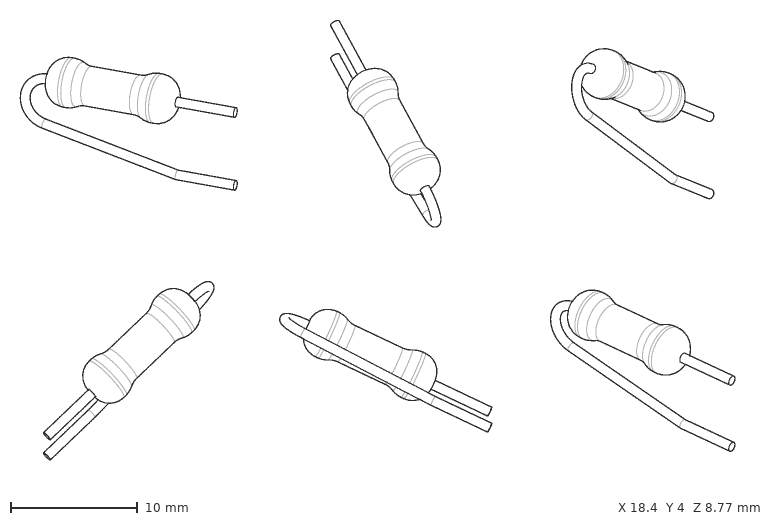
import cadquery as cq
import math


overall_length = 18.4
body_length = 11.0
body_diameter = 4.0
core_diameter = 3.2
bulb_land = 0.28
wire_diameter = 0.8
bend_radius = 2.0
lead_spacing = 6.37

body_radius = body_diameter / 2
core_radius = core_diameter / 2
wire_radius = wire_diameter / 2
bulb_round = body_radius - wire_radius
lead_tip_x = overall_length - bend_radius - wire_radius

blend_mid_radius = (body_radius + core_radius) / 2
blend_angle = math.acos(1 - (body_radius - blend_mid_radius) / bulb_round)
blend_half_length = bulb_round * math.sin(blend_angle)


def arc_point(center_x, center_y, radius, angle):
    """Point on a circle, with the angle in radians from the first axis."""
    return (center_x + radius * math.cos(angle), center_y + radius * math.sin(angle))


def make_wire():
    """Round wire through the body, bent back under it and then level again."""
    bend_center_x = 0.0
    bend_center_z = -bend_radius
    kink = (body_length, -lead_spacing)

    run = kink[0] - bend_center_x
    rise = kink[1] - bend_center_z
    slope = math.atan2(rise, run) + math.asin(bend_radius / math.hypot(run, rise))
    bend_start_angle = math.pi / 2
    bend_end_angle = slope + 3 * math.pi / 2
    bend_middle_angle = (bend_start_angle + bend_end_angle) / 2
    bend_middle = arc_point(bend_center_x, bend_center_z, bend_radius, bend_middle_angle)
    bend_end = arc_point(bend_center_x, bend_center_z, bend_radius, bend_end_angle)

    path = (
        cq.Workplane("XZ")
        .moveTo(lead_tip_x, 0)
        .lineTo(0, 0)
        .threePointArc(bend_middle, bend_end)
        .lineTo(*kink)
        .lineTo(lead_tip_x, -lead_spacing)
    )
    section = cq.Workplane("YZ", origin=(lead_tip_x, 0, 0)).circle(wire_radius)
    return section.sweep(path, transition="right")


def make_body():
    """Turned dog-bone body with a through bore for the wire."""
    land_start = bulb_round
    land_end = land_start + bulb_land
    blend_mid = land_end + blend_half_length
    core_start = blend_mid + blend_half_length

    round_middle = arc_point(land_start, wire_radius, bulb_round, 3 * math.pi / 4)
    convex_middle = arc_point(
        land_end, body_radius - bulb_round, bulb_round, (math.pi - blend_angle) / 2
    )
    concave_middle = arc_point(
        core_start, core_radius + bulb_round, bulb_round, -(math.pi + blend_angle) / 2
    )

    def opposite(x, radius):
        """Matching profile point at the other end of the body."""
        return (body_length - x, radius)

    profile = (
        cq.Workplane("XZ")
        .moveTo(0, wire_radius)
        .threePointArc(round_middle, (land_start, body_radius))
        .lineTo(land_end, body_radius)
        .threePointArc(convex_middle, (blend_mid, blend_mid_radius))
        .threePointArc(concave_middle, (core_start, core_radius))
        .lineTo(*opposite(core_start, core_radius))
        .threePointArc(opposite(*concave_middle), opposite(blend_mid, blend_mid_radius))
        .threePointArc(opposite(*convex_middle), opposite(land_end, body_radius))
        .lineTo(*opposite(land_start, body_radius))
        .threePointArc(opposite(*round_middle), opposite(0, wire_radius))
        .close()
    )
    return profile.revolve(360, (0, 0, 0), (1, 0, 0))


wire = make_wire()
body = make_body()

result = cq.Compound.makeCompound([body.val(), wire.val()])